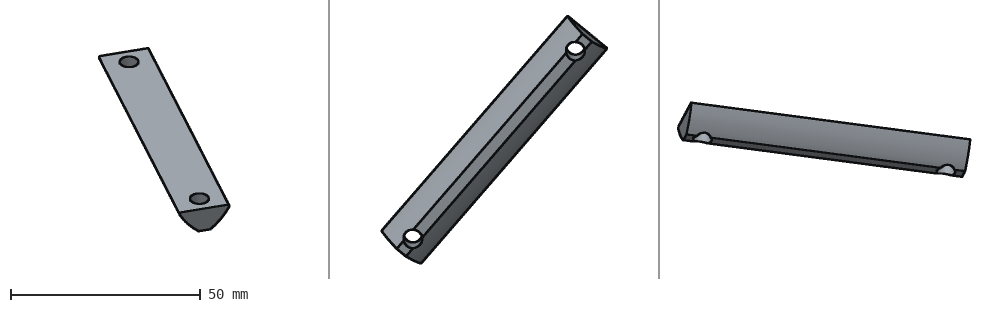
import cadquery as cq
import math

length = 76.0
width = 13.7
height = 7.0

bottom_flat_width = 3.2
edge_radius = 0.5
flank_angle = math.radians(28)

hole_diameter = 4.95
hole_end_distance = 4.8


def make_bar():
    """Bar along X with a flat top, rounded upper edges and convex flanks."""
    bottom_y = bottom_flat_width / 2
    edge_center_y = width / 2 - edge_radius
    edge_center_z = height - edge_radius
    flank_y = edge_center_y + edge_radius * math.cos(flank_angle)
    flank_z = edge_center_z - edge_radius * math.sin(flank_angle)

    half_section = (
        cq.Workplane("YZ", origin=(-length / 2, 0, 0))
        .moveTo(0, height)
        .lineTo(edge_center_y, height)
        .threePointArc((width / 2, edge_center_z), (flank_y, flank_z))
        .tangentArcPoint((bottom_y, 0), relative=False)
        .lineTo(0, 0)
        .close()
    )
    half_bar = half_section.extrude(length)
    return half_bar.union(half_bar.mirror("XZ")).clean()


def make_holes():
    """One vertical through hole near each end."""
    hole_x = length / 2 - hole_end_distance
    return (
        cq.Workplane("XY")
        .pushPoints([(-hole_x, 0), (hole_x, 0)])
        .circle(hole_diameter / 2)
        .extrude(height)
    )


result = make_bar().cut(make_holes())